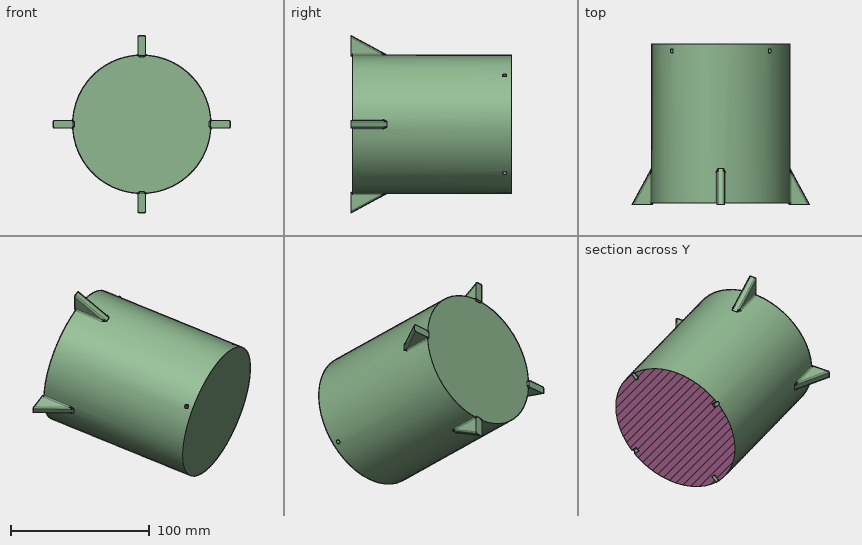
import cadquery as cq
import math

span = 128.0
body_diameter = 100.0
body_length = 115.0
body_radius = body_diameter / 2

fin_count = 4
fin_thickness = 5.6
fin_length = 26.0
fin_overhang = 1.0
fin_embed = 1.4
fin_edge_radius = 1.2
root_flare = 0.9
flare_taper = 3.1
ramp_tip_depth = 0.4
ramp_half_width = 1.8

hole_count = 4
hole_diameter = 3.0
hole_depth = 5.1
hole_inset = 5.0
hole_start_angle = 45.0


def make_fin():
    """Triangular fin on the +X side with its sloping outer edges rounded."""
    front = -fin_overhang
    rear = front + fin_length
    root = body_radius - fin_embed
    outline = [
        (body_radius, front),
        (span / 2, front),
        (body_radius, rear),
        (root, rear),
        (root, 0),
        (body_radius, 0),
    ]
    fin = (
        cq.Workplane("XY", origin=(0, 0, -fin_thickness / 2))
        .polyline(outline)
        .close()
        .extrude(fin_thickness)
    )
    return fin.edges("not (|X or |Y or |Z)").fillet(fin_edge_radius)


def make_root_flare():
    """Concave filleted skirt where a fin meets the cylinder wall, narrowing to the rear."""
    half = fin_thickness / 2
    wide = half + root_flare
    root = body_radius - fin_embed
    wall = math.sqrt(body_radius**2 - wide**2)
    crest = wall + root_flare
    arc_offset = root_flare * (1 - math.sqrt(0.5))
    skirt = (
        cq.Workplane("XZ")
        .moveTo(root, -wide)
        .lineTo(wall, -wide)
        .threePointArc((wall + arc_offset, -half - arc_offset), (crest, -half))
        .lineTo(crest, half)
        .threePointArc((wall + arc_offset, half + arc_offset), (wall, wide))
        .lineTo(root, wide)
        .close()
        .extrude(-fin_length)
    )

    rear = fin_length - fin_overhang
    shoulder = rear - flare_taper
    tip = half - fin_edge_radius
    plan = [(0, -wide), (shoulder, -wide), (rear, -tip), (rear, tip), (shoulder, wide), (0, wide)]
    trim = cq.Workplane("YZ", origin=(root, 0, 0)).polyline(plan).close().extrude(2 * fin_embed)
    slope = (span / 2 - body_radius) / fin_length
    side = [(root, 0), (body_radius + slope * rear, 0), (body_radius, rear), (root, rear)]
    under_slope = cq.Workplane("XY", origin=(0, 0, -wide)).polyline(side).close().extrude(2 * wide)
    return skirt.intersect(trim).intersect(under_slope)


def root_wire(plane, depth, half_width):
    """Fin root end: full width at the wall, corners cut to half_width at depth below it."""
    half = fin_thickness / 2
    inner = body_radius - depth
    outer = body_radius + fin_embed
    corner = inner + half - half_width
    points = [
        (inner, -half_width),
        (corner, -half),
        (outer, -half),
        (outer, half),
        (corner, half),
        (inner, half_width),
    ]
    return plane.polyline(points).close()


def make_front_ramp():
    """Overhanging root of a fin, sloping inward down to the closed face."""
    tip_wire = root_wire(cq.Workplane("XZ", origin=(0, -fin_overhang, 0)), ramp_tip_depth, ramp_half_width)
    return root_wire(tip_wire.workplane(offset=-fin_overhang), fin_embed, ramp_half_width).loft()


def make_screw_hole(angle):
    """Blind radial hole cutter at the given angle about Y."""
    return (
        cq.Workplane("YZ", origin=(body_radius - hole_depth, 0, 0))
        .center(body_length - hole_inset, 0)
        .circle(hole_diameter / 2)
        .extrude(2 * hole_depth)
        .rotate((0, 0, 0), (0, 1, 0), angle)
    )


result = cq.Workplane("XZ").circle(body_radius).extrude(-body_length)

fin = make_fin().union(make_root_flare()).union(make_front_ramp())
for index in range(fin_count):
    result = result.union(fin.rotate((0, 0, 0), (0, 1, 0), index * 360 / fin_count))

for index in range(hole_count):
    result = result.cut(make_screw_hole(hole_start_angle + index * 360 / hole_count))